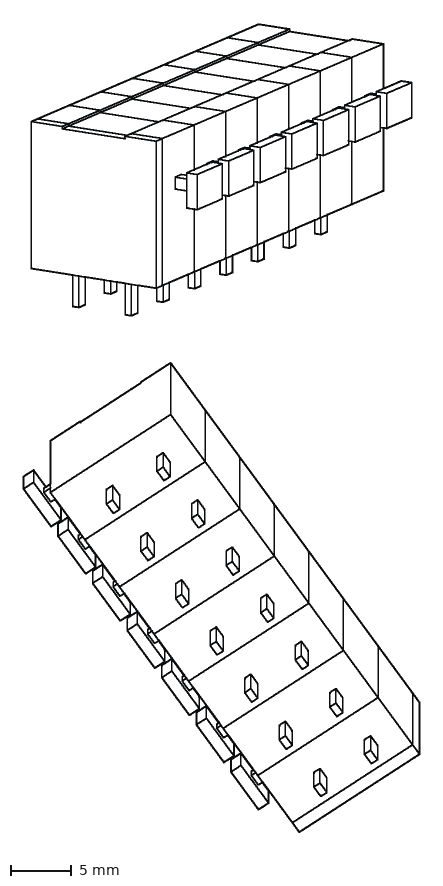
import cadquery as cq

module_count = 7
total_length = 36
body_width = 12.0
body_height = 12.5
end_plate_thickness = 1.0
pitch = (total_length - end_plate_thickness) / module_count

channel_width = 6.0
channel_depth = 0.2

pin_size_x = 0.6
pin_size_y = 1.0
pin_length = 3.5
pin_row_spacing = 5.05
first_pin_x = 2.7
pin_offset_y = 0.4

stem_length = 2.0
stem_size = 1.0
head_thickness = 1.0
head_width = 4.0
head_height = 3.0
lever_z = 8.25


def channelled_block(length, start_y):
    """Block of the housing section, running from start_y toward +Y."""
    block = cq.Workplane("XY").box(body_width, length, body_height, centered=False)
    channel = (
        cq.Workplane("XY")
        .box(channel_width, length, channel_depth, centered=False)
        .translate(((body_width - channel_width) / 2, 0, body_height - channel_depth))
    )
    return block.cut(channel).translate((0, start_y, 0))


def make_pin(center_x, center_y):
    return (
        cq.Workplane("XY")
        .center(center_x, center_y)
        .rect(pin_size_x, pin_size_y)
        .extrude(-pin_length)
    )


def make_lever(center_y):
    face = cq.Workplane("YZ", origin=(body_width, center_y, lever_z))
    stem = face.rect(stem_size, stem_size).extrude(stem_length)
    head = face.workplane(offset=stem_length).rect(head_width, head_height).extrude(head_thickness)
    return stem.union(head)


def make_module(start_y):
    """One terminal: housing block with its lever and two pins."""
    center_y = start_y + pitch / 2
    module = channelled_block(pitch, start_y).union(make_lever(center_y))
    for row in range(2):
        pin_x = first_pin_x + row * pin_row_spacing
        module = module.union(make_pin(pin_x, center_y - pin_offset_y))
    return module


end_plate = channelled_block(end_plate_thickness, 0)
modules = [make_module(end_plate_thickness + index * pitch) for index in range(module_count)]

result = cq.Compound.makeCompound([end_plate.val(), *[module.val() for module in modules]])